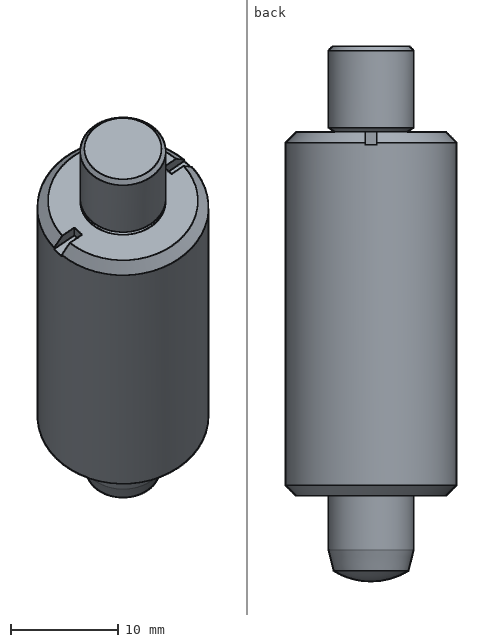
import cadquery as cq
import math

total_length = 50.0
end_projection = 8.0
housing_bottom = end_projection
housing_top = total_length - end_projection

housing_diameter = 16.0
housing_radius = housing_diameter / 2
housing_chamfer = 1.0
slot_width = 1.1
slot_depth = 1.2
slot_inner_radius = 5.5

pin_radius = housing_diameter / 4
head_top_chamfer = 0.4
head_bottom_chamfer_height = 0.4
head_bottom_chamfer_inset = 0.6
nose_start = 3.0
dome_height = 1.0
dome_radius = 3.5


def make_housing():
    """Chamfered sleeve with a through bore and two screwdriver slots in its top face."""
    body = (
        cq.Workplane("XY")
        .workplane(offset=housing_bottom)
        .circle(housing_radius)
        .extrude(housing_top - housing_bottom)
        .faces("<Z or >Z")
        .chamfer(housing_chamfer)
        .faces(">Z")
        .workplane()
        .hole(2 * pin_radius)
    )
    return cut_slots(body)


def cut_slots(body):
    """Cut a radial slot on the +Y and the -Y side of the top face."""
    slot_length = housing_radius - slot_inner_radius
    slot_center = (housing_radius + slot_inner_radius) / 2
    for side in (-1, 1):
        slot = (
            cq.Workplane("XY")
            .workplane(offset=housing_top - slot_depth)
            .center(0, side * slot_center)
            .rect(slot_width, slot_length)
            .extrude(slot_depth)
        )
        body = body.cut(slot)
    return body


def make_pin():
    """Revolved pin: domed nose with a tapered flank, shank and chamfered head."""
    sphere_radius = (dome_radius**2 + dome_height**2) / (2 * dome_height)
    dome_middle_x = dome_radius / 2
    dome_middle_z = sphere_radius - math.sqrt(sphere_radius**2 - dome_middle_x**2)

    return (
        cq.Workplane("XZ")
        .moveTo(0, 0)
        .threePointArc((dome_middle_x, dome_middle_z), (dome_radius, dome_height))
        .lineTo(pin_radius, nose_start)
        .lineTo(pin_radius, housing_top)
        .lineTo(pin_radius - head_bottom_chamfer_inset, housing_top)
        .lineTo(pin_radius, housing_top + head_bottom_chamfer_height)
        .lineTo(pin_radius, total_length - head_top_chamfer)
        .lineTo(pin_radius - head_top_chamfer, total_length)
        .lineTo(0, total_length)
        .close()
        .revolve(360, (0, 0, 0), (0, 1, 0))
    )


housing = make_housing()
pin = make_pin()

result = cq.Compound.makeCompound([housing.val(), pin.val()])